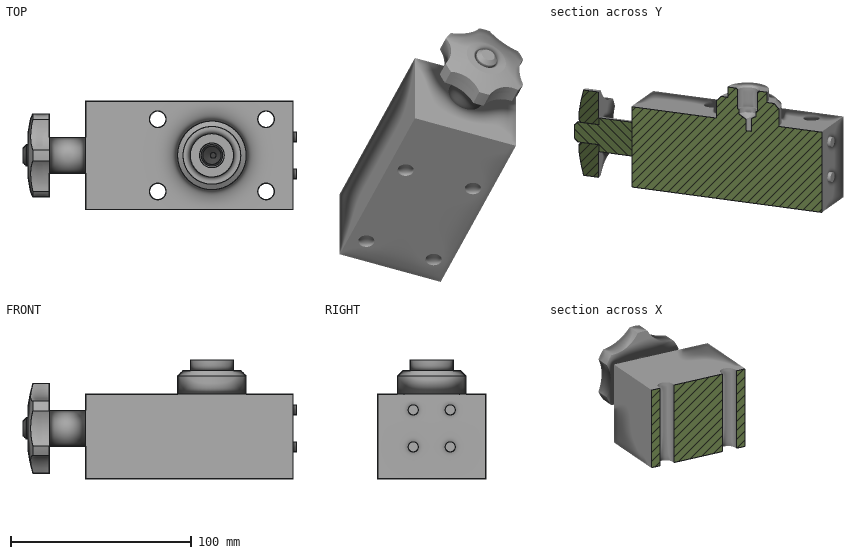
import cadquery as cq
import math

block_length = 115.0
block_width = 60.0
block_height = 47.0

bolt_hole_diameter = 9.0
bolt_hole_first_x = 40.0
bolt_hole_pitch_x = 60.0
bolt_hole_pitch_y = 40.0

boss_x = 70.0
boss_diameter = 38.0
boss_height = 13.0
boss_chamfer = 3.0
collar_diameter = 24.0
collar_height = 6.0

port_bore_diameter = 11.9
port_bore_depth = 12.0
port_chamfer = 0.9
port_drill_diameter = 10.1
port_drill_depth = 15.0
drill_point_angle = 118.0
passage_diameter = 3.2
passage_offset_x = 0.7
passage_depth = 24.0

stud_diameter = 5.6
stud_length = 2.0
stud_pitch = 20.5

spindle_z = 28.0
stem_diameter = 20.0
stem_length = 20.0
rod_diameter = 12.0
rod_length = 14.81
rod_chamfer = 2.1

knob_diameter = 50.0
knob_rim_thickness = 9.2
knob_thickness = 12.0
knob_flat_diameter = 23.2
knob_hole_chamfer = 1.15
lobe_count = 6
lobe_tip_width = 6.2
valley_radius = 20.3

boss_top_z = block_height + boss_height
collar_top_z = boss_top_z + collar_height
knob_back_x = -stem_length
knob_front_x = knob_back_x - knob_thickness
knob_rim_x = knob_back_x - knob_rim_thickness
rod_tip_x = knob_back_x - rod_length


def vertical_cylinder(diameter, bottom_z, height, x):
    return cq.Workplane("XY", origin=(x, 0, bottom_z)).circle(diameter / 2).extrude(height)


def axial_cylinder(diameter, start_x, length):
    """Cylinder on the spindle axis, running toward +X from start_x."""
    return cq.Workplane("YZ", origin=(start_x, 0, spindle_z)).circle(diameter / 2).extrude(length)


def make_block():
    block = cq.Workplane("XY").box(
        block_length, block_width, block_height, centered=(False, True, False)
    )
    bolt_holes = (
        cq.Workplane("XY", origin=(bolt_hole_first_x + bolt_hole_pitch_x / 2, 0, 0))
        .rarray(bolt_hole_pitch_x, bolt_hole_pitch_y, 2, 2)
        .circle(bolt_hole_diameter / 2)
        .extrude(block_height)
    )
    return block.cut(bolt_holes)


def make_boss():
    base = vertical_cylinder(boss_diameter, block_height, boss_height, boss_x)
    base = base.faces(">Z").chamfer(boss_chamfer)
    collar = vertical_cylinder(collar_diameter, boss_top_z, collar_height, boss_x)
    return base.union(collar)


def make_port():
    """Chamfered bore, narrower drill with a conical point, and an off-centre passage below."""
    bore_radius = port_bore_diameter / 2
    drill_radius = port_drill_diameter / 2
    point_depth = drill_radius / math.tan(math.radians(drill_point_angle / 2))
    port = (
        cq.Workplane("XZ", origin=(boss_x, 0, collar_top_z))
        .lineTo(bore_radius + port_chamfer, 0)
        .lineTo(bore_radius, -port_chamfer)
        .lineTo(bore_radius, -port_bore_depth)
        .lineTo(drill_radius, -port_bore_depth)
        .lineTo(drill_radius, -port_drill_depth)
        .lineTo(0, -port_drill_depth - point_depth)
        .close()
        .revolve(360, (0, 0), (0, 1))
    )
    passage = vertical_cylinder(
        passage_diameter,
        collar_top_z - passage_depth,
        passage_depth - port_drill_depth,
        boss_x + passage_offset_x,
    )
    return port.union(passage)


def make_studs():
    return (
        cq.Workplane("YZ", origin=(block_length, 0, spindle_z))
        .rarray(stud_pitch, stud_pitch, 2, 2)
        .circle(stud_diameter / 2)
        .extrude(stud_length)
    )


housing = make_block().union(make_boss()).cut(make_port()).union(make_studs())


def make_spindle():
    stem = axial_cylinder(stem_diameter, knob_back_x, stem_length)
    rod = axial_cylinder(rod_diameter, rod_tip_x, rod_length)
    rod = rod.faces("<X").chamfer(rod_chamfer)
    return stem.union(rod)


spindle = make_spindle()


def make_domed_disc():
    """Disc with a flat centre and a spherical dome that falls away to the rim."""
    rim_radius = knob_diameter / 2
    flat_radius = knob_flat_diameter / 2
    drop = knob_rim_x - knob_front_x
    centre_depth = (rim_radius**2 - flat_radius**2 + drop**2) / (2 * drop)
    sphere_radius = math.hypot(flat_radius, centre_depth)
    mid_radius = (rim_radius + flat_radius) / 2
    mid_x = knob_front_x + centre_depth - math.sqrt(sphere_radius**2 - mid_radius**2)
    return (
        cq.Workplane("XY", origin=(0, 0, spindle_z))
        .moveTo(knob_back_x, 0)
        .lineTo(knob_back_x, rim_radius)
        .lineTo(knob_rim_x, rim_radius)
        .threePointArc((mid_x, mid_radius), (knob_front_x, flat_radius))
        .lineTo(knob_front_x, 0)
        .close()
        .revolve(360, (0, 0), (1, 0))
    )


def make_scallops():
    """Cylinders that cut the valleys between the lobes, one lobe pointing along +Z."""
    rim_radius = knob_diameter / 2
    half_spacing = math.pi / lobe_count
    half_valley = half_spacing - math.asin(lobe_tip_width / 2 / rim_radius)
    half_chord = rim_radius * math.sin(half_valley)
    valley_depth = rim_radius * math.cos(half_valley) - valley_radius
    scallop_radius = (half_chord**2 + valley_depth**2) / (2 * valley_depth)
    return (
        cq.Workplane("YZ", origin=(knob_front_x, 0, spindle_z))
        .polarArray(valley_radius + scallop_radius, 0, 360, lobe_count)
        .circle(scallop_radius)
        .extrude(knob_thickness)
    )


def make_knob():
    knob = make_domed_disc().cut(make_scallops())
    knob = knob.cut(axial_cylinder(rod_diameter, knob_front_x, knob_thickness))
    hole_edge = knob.faces("<X").edges(cq.selectors.RadiusNthSelector(0))
    return hole_edge.chamfer(knob_hole_chamfer)


knob = make_knob()

result = cq.Compound.makeCompound([housing.val(), spindle.val(), knob.val()])